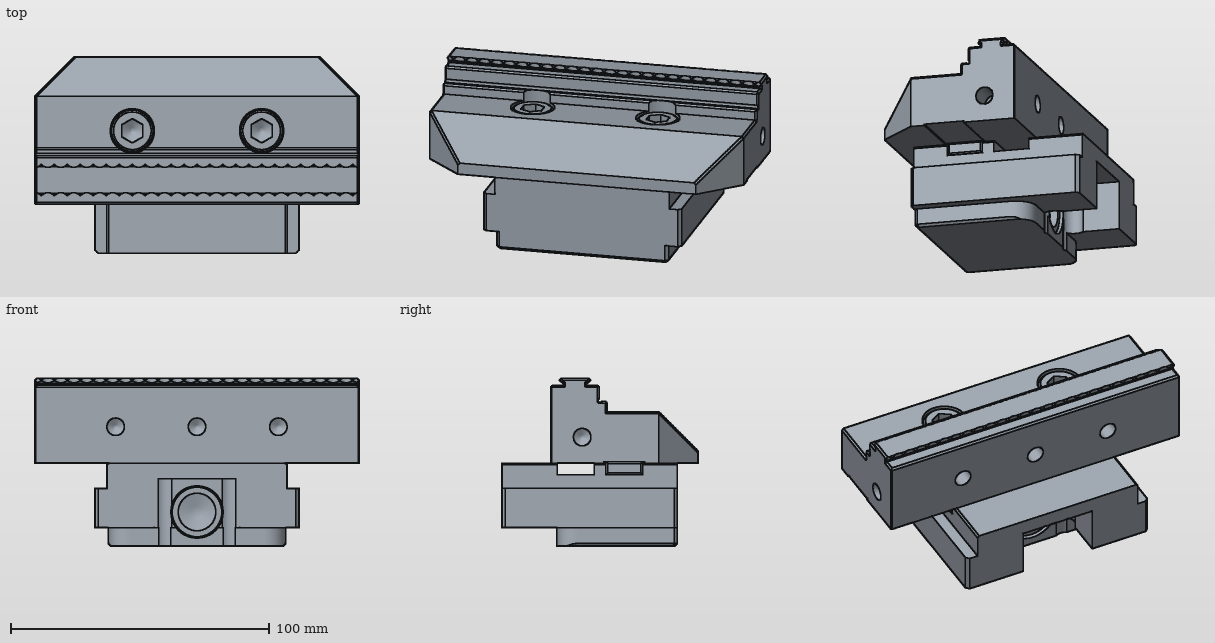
import cadquery as cq
import math


TOTAL_HEIGHT = 65.0
JAW_LENGTH = 125.4
JAW_DEPTH = 57.0
DECK_Z = 19.8
STEP_BACK_Y = 21.8
STEP_Z = 24.0
SHOULDER_BACK_Y = 18.8
SHOULDER_Z = 30.1
BACK_BEVEL = 15.2
END_CHAMFER = 0.8
FRONT_CORNER_CHAMFER = 0.4
EDGE_CHAMFER = 0.8
BEVEL_EDGE_DEPTH = 0.31
RELIEF_DIAMETER = 1.5
RELIEF_OFFSET = 0.3

RAIL_Y = 9.4
RAIL_TOP_Z = 32.9
RAIL_TIP_Z = 32.0
RAIL_ROOT_Z = 30.7
RAIL_TOP_HALF = 5.1
RAIL_TIP_HALF = 6.0
RAIL_ROOT_HALF = 4.5
TOOTH_PITCH = 5.0
SCALLOP_RADIUS = 3.4

HOLE_DIAMETER = 6.8
HOLE_DEPTH = 12.5
DRILL_POINT_ANGLE = 118.0
FRONT_HOLE_SPACING = 31.5
FRONT_HOLE_Z = 14.0
SIDE_HOLE_Y = 12.2
SIDE_HOLE_Z = 10.0

SCREW_SPACING = 50.0
SCREW_Y = 28.5
COUNTERBORE_DIAMETER = 17.0
COUNTERBORE_DEPTH = 10.0
HEAD_DIAMETER = 16.0
HEAD_RECESS = 0.3
HEAD_CHAMFER = 0.8
SOCKET_ACROSS_FLATS = 8.2
SOCKET_DEPTH = 3.8

SLIDE_FRONT_Y = -18.9
SLIDE_LENGTH = 68.0
SLIDE_BACK_Y = SLIDE_FRONT_Y + SLIDE_LENGTH
SLIDE_WIDTH = 69.7
SLIDE_TOP_CHAMFER = 0.8
FLANGE_WIDTH = 79.0
FLANGE_TOP_Z = -9.8
FLANGE_BOTTOM_Z = -25.0
FLANGE_CHAMFER = 1.3
PLATE_WIDTH = 68.7
PLATE_BOTTOM_Z = RAIL_TOP_Z - TOTAL_HEIGHT
PLATE_FRONT_Y = 2.3
PLATE_CORNER_RADIUS = 8.0
PLATE_CHAMFER = 1.0

CROSS_SLOT_WIDTH = 14.2
CROSS_SLOT_DEPTH = 4.5
CROSS_SLOT_PITCH = 18.8
KEY_CHAMFER = 0.8
KEY_GROOVE_WIDTH = 15.8
KEY_GROOVE_DEPTH = 0.5

RECESS_WIDTH = 30.0
RECESS_TOP_Z = -6.0
RECESS_BACK_Y = 1.9
CORNER_RELIEF_DIAMETER = 8.2
CORNER_RELIEF_SPACING = 25.0
CORNER_RELIEF_Y = -1.1
BORE_Z = -18.9
BORE_MOUTH_DIAMETER = 20.2
BORE_SEAT_DIAMETER = 19.2
BORE_SEAT_Y = PLATE_FRONT_Y + 1.3
BORE_INNER_DIAMETER = 14.5
BORE_INNER_DEPTH = 7.5
BORE_POINT_ANGLE = 150.0


def block(x_size, y_start, y_end, z_start, z_end):
    """Box centred on X = 0."""
    base = cq.Workplane("XY", origin=(0, y_start, z_start))
    return base.box(x_size, y_end - y_start, z_end - z_start, centered=(True, False, False))


def upright_cylinder(x, y, radius, z_start, z_end):
    return cq.Workplane("XY", origin=(x, y, z_start)).circle(radius).extrude(z_end - z_start)


def drill(diameter, depth, start, direction, point_angle=DRILL_POINT_ANGLE):
    """Blind hole with a conical drill point."""
    radius = diameter / 2
    point = radius / math.tan(math.radians(point_angle / 2))
    tip_start = cq.Vector(*start) + cq.Vector(*direction) * depth
    shank = cq.Solid.makeCylinder(radius, depth, cq.Vector(*start), cq.Vector(*direction))
    tip = cq.Solid.makeCone(radius, 0, point, tip_start, cq.Vector(*direction))
    return cq.Workplane(shank).union(cq.Workplane(tip))


def jaw_outline(front_overrun, underside_overrun):
    """Jaw side outline; the front and underside move outward by their overruns."""
    root_front = RAIL_Y - RAIL_ROOT_HALF
    root_back = RAIL_Y + RAIL_ROOT_HALF
    return [
        (-front_overrun, -underside_overrun),
        (-front_overrun, SHOULDER_Z),
        (root_front, SHOULDER_Z),
        (root_front, RAIL_ROOT_Z),
        (RAIL_Y - RAIL_TIP_HALF, RAIL_TIP_Z),
        (RAIL_Y - RAIL_TOP_HALF, RAIL_TOP_Z),
        (RAIL_Y + RAIL_TOP_HALF, RAIL_TOP_Z),
        (RAIL_Y + RAIL_TIP_HALF, RAIL_TIP_Z),
        (root_back, RAIL_ROOT_Z),
        (root_back, SHOULDER_Z),
        (SHOULDER_BACK_Y, SHOULDER_Z),
        (SHOULDER_BACK_Y, STEP_Z),
        (STEP_BACK_Y, STEP_Z),
        (STEP_BACK_Y, DECK_Z),
        (JAW_DEPTH - BACK_BEVEL, DECK_Z),
        (JAW_DEPTH, DECK_Z - BACK_BEVEL),
        (JAW_DEPTH, -underside_overrun),
    ]


def make_jaw_body():
    half = JAW_LENGTH / 2
    core_half = half - END_CHAMFER
    body = cq.Workplane("YZ").polyline(jaw_outline(0, 0)).close().extrude(core_half, both=True)

    cap_outline = jaw_outline(END_CHAMFER - FRONT_CORNER_CHAMFER, 2 * END_CHAMFER)
    cap = cq.Workplane("YZ").workplane(offset=core_half).polyline(cap_outline).close()
    cap = cap.extrude(END_CHAMFER, taper=45).intersect(block(JAW_LENGTH, 0, JAW_DEPTH, 0, RAIL_TOP_Z))
    body = body.union(cap).union(cap.mirror("YZ"))

    for side in (-1, 1):
        corner = [
            (side * half, JAW_DEPTH - BACK_BEVEL),
            (side * half, JAW_DEPTH),
            (side * (half - BACK_BEVEL), JAW_DEPTH),
        ]
        body = body.cut(cq.Workplane("XY").polyline(corner).close().extrude(DECK_Z))

        bevel_middle = (side * (half - BACK_BEVEL / 2), JAW_DEPTH - BACK_BEVEL / 2, DECK_Z - BACK_BEVEL / 2)
        chamfer_plane = cq.Plane(origin=bevel_middle, xDir=(-side, 1, -1), normal=(side, 2, 1))
        outside = cq.Workplane(chamfer_plane).workplane(offset=-BEVEL_EDGE_DEPTH)
        body = body.cut(outside.rect(JAW_DEPTH, JAW_DEPTH).extrude(BACK_BEVEL))

    for y, z in ((0, SHOULDER_Z), (SHOULDER_BACK_Y, SHOULDER_Z), (STEP_BACK_Y, STEP_Z)):
        edge = cq.selectors.NearestToPointSelector((0, y, z))
        body = body.edges("|X").edges(edge).chamfer(EDGE_CHAMFER)
    return body


def add_scallops(jaw):
    """Rows of shallow round cuts leave pointed teeth along both rail edges."""
    count = round(JAW_LENGTH / TOOTH_PITCH) + 1
    tip_depth = SCALLOP_RADIUS - math.sqrt(SCALLOP_RADIUS**2 - (TOOTH_PITCH / 2) ** 2)
    offset = RAIL_TIP_HALF - tip_depth + SCALLOP_RADIUS
    for i in range(count):
        x = -JAW_LENGTH / 2 + i * TOOTH_PITCH
        for side in (-1, 1):
            y = RAIL_Y + side * offset
            jaw = jaw.cut(upright_cylinder(x, y, SCALLOP_RADIUS, SHOULDER_Z, RAIL_TOP_Z))
    return jaw


def make_jaw():
    jaw = add_scallops(make_jaw_body())
    half = JAW_LENGTH / 2

    relief = cq.Workplane("YZ").center(SHOULDER_BACK_Y + RELIEF_OFFSET, STEP_Z + RELIEF_OFFSET)
    jaw = jaw.cut(relief.circle(RELIEF_DIAMETER / 2).extrude(half, both=True))

    for i in (-1, 0, 1):
        front_start = (i * FRONT_HOLE_SPACING, 0, FRONT_HOLE_Z)
        jaw = jaw.cut(drill(HOLE_DIAMETER, HOLE_DEPTH, front_start, (0, 1, 0)))
    for side in (-1, 1):
        side_start = (side * half, SIDE_HOLE_Y, SIDE_HOLE_Z)
        jaw = jaw.cut(drill(HOLE_DIAMETER, HOLE_DEPTH, side_start, (-side, 0, 0)))

    groove_half = KEY_GROOVE_WIDTH / 2
    return jaw.cut(block(JAW_LENGTH, SCREW_Y - groove_half, SCREW_Y + groove_half, 0, KEY_GROOVE_DEPTH))


def make_screw_head(x):
    """Chamfered head with a hexagonal socket that ends in a cone."""
    floor_z = DECK_Z - COUNTERBORE_DEPTH
    top_z = DECK_Z - HEAD_RECESS
    head = upright_cylinder(x, SCREW_Y, HEAD_DIAMETER / 2, floor_z, top_z).faces(">Z").chamfer(HEAD_CHAMFER)
    across_corners = SOCKET_ACROSS_FLATS / math.cos(math.pi / 6)
    socket = (
        cq.Workplane("XY", origin=(x, SCREW_Y, top_z))
        .transformed(rotate=(0, 0, 30))
        .polygon(6, across_corners)
        .extrude(floor_z - top_z)
    )
    pointed = drill(across_corners, SOCKET_DEPTH, (x, SCREW_Y, top_z), (0, 0, -1))
    return head.cut(socket.intersect(pointed))


def add_screws(jaw):
    for x in (-SCREW_SPACING / 2, SCREW_SPACING / 2):
        bore = upright_cylinder(x, SCREW_Y, COUNTERBORE_DIAMETER / 2, DECK_Z - COUNTERBORE_DEPTH, RAIL_TOP_Z)
        jaw = jaw.cut(bore).union(make_screw_head(x))
    return jaw


def make_slide():
    upper = block(SLIDE_WIDTH, SLIDE_FRONT_Y, SLIDE_BACK_Y, FLANGE_BOTTOM_Z, 0)
    upper = upper.faces(">Z").edges("|Y").chamfer(SLIDE_TOP_CHAMFER)

    flange = block(FLANGE_WIDTH, SLIDE_FRONT_Y, SLIDE_BACK_Y, FLANGE_BOTTOM_Z, FLANGE_TOP_Z)
    flange = flange.edges("|Z").chamfer(FLANGE_CHAMFER)

    plate = block(PLATE_WIDTH, PLATE_FRONT_Y, SLIDE_BACK_Y, PLATE_BOTTOM_Z, FLANGE_BOTTOM_Z)
    plate = plate.edges("|Z and >Y").chamfer(FLANGE_CHAMFER)
    plate = plate.faces("<Z").edges("not <Y").chamfer(PLATE_CHAMFER)
    plate = plate.edges("|Z and <Y").fillet(PLATE_CORNER_RADIUS)
    return upper.union(flange).union(plate)


def add_recess(slide):
    slide = slide.cut(block(RECESS_WIDTH, SLIDE_FRONT_Y, RECESS_BACK_Y, FLANGE_BOTTOM_Z, RECESS_TOP_Z))
    radius = CORNER_RELIEF_DIAMETER / 2
    for x in (-CORNER_RELIEF_SPACING / 2, CORNER_RELIEF_SPACING / 2):
        slide = slide.cut(upright_cylinder(x, CORNER_RELIEF_Y, radius, PLATE_BOTTOM_Z, RECESS_TOP_Z))
    return slide


def add_bore(slide):
    """Round mouth, slightly tapered seat, then a smaller bore with a conical end."""
    axis = cq.Vector(0, 1, 0)
    mouth_radius = BORE_MOUTH_DIAMETER / 2
    mouth_start = cq.Vector(0, RECESS_BACK_Y, BORE_Z)
    mouth = cq.Solid.makeCylinder(mouth_radius, PLATE_FRONT_Y - RECESS_BACK_Y, mouth_start, axis)
    seat_start = cq.Vector(0, PLATE_FRONT_Y, BORE_Z)
    seat_depth = BORE_SEAT_Y - PLATE_FRONT_Y
    seat = cq.Solid.makeCone(mouth_radius, BORE_SEAT_DIAMETER / 2, seat_depth, seat_start, axis)
    inner_start = (0, BORE_SEAT_Y, BORE_Z)
    inner = drill(BORE_INNER_DIAMETER, BORE_INNER_DEPTH, inner_start, (0, 1, 0), BORE_POINT_ANGLE)
    return slide.cut(cq.Workplane(mouth)).cut(cq.Workplane(seat)).cut(inner)


def add_cross_slots(slide):
    half = CROSS_SLOT_WIDTH / 2
    for y in (SCREW_Y, SCREW_Y - CROSS_SLOT_PITCH):
        slide = slide.cut(block(FLANGE_WIDTH, y - half, y + half, -CROSS_SLOT_DEPTH, 0))
    return slide


def make_key():
    half = CROSS_SLOT_WIDTH / 2
    key = block(SLIDE_WIDTH, SCREW_Y - half, SCREW_Y + half, -CROSS_SLOT_DEPTH, KEY_GROOVE_DEPTH)
    return key.faces("<X or >X").chamfer(KEY_CHAMFER)


jaw = add_screws(make_jaw())
slide = add_cross_slots(add_bore(add_recess(make_slide())))
result = jaw.union(slide).union(make_key())